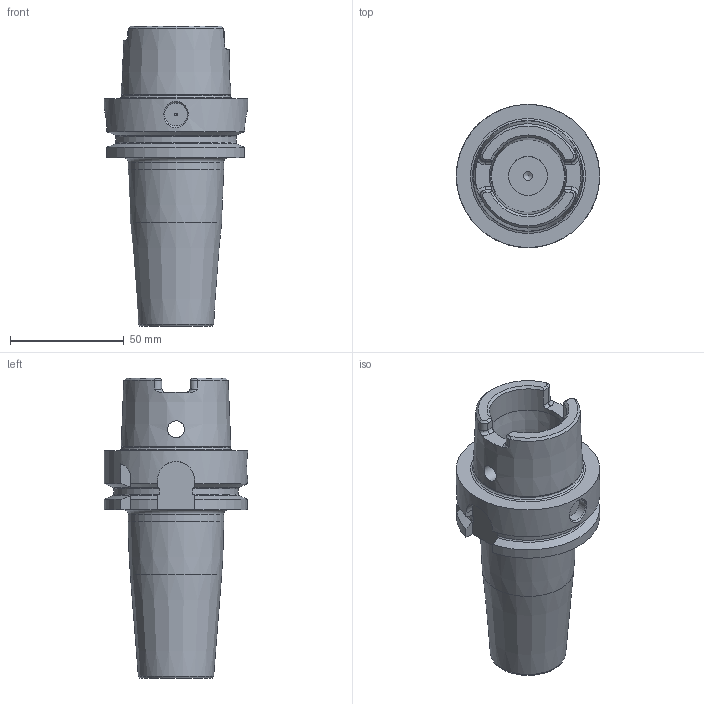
import cadquery as cq
import math


taper_top_z = 31.9
taper_top_radius = 22.9
taper_base_radius = 24.1
relief_top_z = 1.9
relief_radius = 23.8
relief_arc_radius = 1.0
relief_ramp_radius = 25.3
relief_ramp_angle = 22.0

collar_radius = 31.5
collar_bottom_z = -26.0
groove_z = -18.0
groove_half_width = 3.5
groove_radius = 27.5
groove_floor_half_width = 1.65
groove_floor_fillet = 0.8

nose_radius = 21.0
nose_tip_radius = 16.5
nose_tip_z = -100.0
nose_angle = 4.5
nose_fillet = 2.0
nose_bend_start_z = -31.2
nose_bend_end_z = -54.65
nose_tip_chamfer = 0.8

bore_radius = 17.0
bore_straight_depth = 12.4
bore_floor_radius = 16.0
bore_floor_z = 5.0
counterbore_radius = 8.6
counterbore_depth = 10.0
center_cone_radius = 2.0
center_cone_angle = 118.0

drive_slot_half_width = 6.2
drive_slot_depth_minus_x = 6.2
drive_slot_depth_plus_x = 10.2
drive_slot_mouth_fillet = 2.4
drive_slot_floor_fillet = 1.4
rim_chamfer = 1.0

access_hole_radius = 3.75
access_hole_z = 9.3
chip_hole_radius = 5.0
chip_hole_depth = 4.6
chip_hole_z = -7.0
chip_hole_chamfer = 0.8
chip_pilot_radius = 0.6

keyway_flat_x = 26.5
keyway_width_minus_x = 16.3
keyway_width_plus_x = 18.0
keyway_top_z = -4.8
notch_offset = 20.0
notch_corner_radius = 5.7
notch_corner_z = -11.4

keyway_clearance = 10.0
mouth_clearance = 1.0


def revolve_about_z(profile):
    """Full revolution about Z with the seam turned to +Y, clear of holes and slots."""
    ring = profile.revolve(360, (0, 0, 0), (0, 1, 0))
    return ring.rotate((0, 0, 0), (0, 0, 1), 90)


def make_body():
    """Revolve the outer profile of taper, collar and nose."""
    ramp = math.radians(relief_ramp_angle)
    arc_end_radius = relief_radius + relief_arc_radius * (1 - math.sin(ramp))
    arc_end_z = (relief_ramp_radius - arc_end_radius) * math.tan(ramp)
    arc_start_z = arc_end_z + relief_arc_radius * math.cos(ramp)
    relief_step = taper_base_radius - relief_radius
    slope = math.tan(math.radians(nose_angle))
    bend_end_radius = nose_tip_radius + (nose_bend_end_z - nose_tip_z) * slope
    chamfer_radius = nose_tip_radius + nose_tip_chamfer * slope
    diagonal = math.sqrt(0.5)
    profile = (
        cq.Workplane("XZ")
        .moveTo(0, taper_top_z)
        .lineTo(taper_top_radius, taper_top_z)
        .lineTo(taper_base_radius, relief_top_z)
        .lineTo(relief_radius, relief_top_z - relief_step)
        .lineTo(relief_radius, arc_start_z)
        .tangentArcPoint((arc_end_radius, arc_end_z), relative=False)
        .lineTo(relief_ramp_radius, 0)
        .lineTo(collar_radius, 0)
        .lineTo(collar_radius, collar_bottom_z)
        .lineTo(nose_radius + nose_fillet, collar_bottom_z)
        .threePointArc(
            (
                nose_radius + nose_fillet * (1 - diagonal),
                collar_bottom_z - nose_fillet * (1 - diagonal),
            ),
            (nose_radius, collar_bottom_z - nose_fillet),
        )
        .lineTo(nose_radius, nose_bend_start_z)
        .tangentArcPoint((bend_end_radius, nose_bend_end_z), relative=False)
        .lineTo(chamfer_radius, nose_tip_z + nose_tip_chamfer)
        .lineTo(nose_tip_radius - nose_tip_chamfer / 2, nose_tip_z)
        .lineTo(0, nose_tip_z)
        .close()
    )
    return revolve_about_z(profile)


def make_bore():
    """Straight mouth, slightly narrowing lower bore, counterbore and center cone."""
    counterbore_z = bore_floor_z - counterbore_depth
    cone_depth = center_cone_radius / math.tan(math.radians(center_cone_angle / 2))
    profile = (
        cq.Workplane("XZ")
        .moveTo(0, taper_top_z)
        .lineTo(bore_radius, taper_top_z)
        .lineTo(bore_radius, taper_top_z - bore_straight_depth)
        .lineTo(bore_floor_radius, bore_floor_z)
        .lineTo(counterbore_radius, bore_floor_z)
        .lineTo(counterbore_radius, counterbore_z)
        .lineTo(center_cone_radius, counterbore_z)
        .lineTo(0, counterbore_z - cone_depth)
        .close()
    )
    return revolve_about_z(profile)


def make_groove():
    """Gripper groove ring with sloping walls and rounded floor corners."""
    profile = (
        cq.Workplane("XZ")
        .moveTo(collar_radius, groove_z + groove_half_width)
        .lineTo(groove_radius, groove_z + groove_floor_half_width)
        .lineTo(groove_radius, groove_z - groove_floor_half_width)
        .lineTo(collar_radius, groove_z - groove_half_width)
        .close()
    )
    floor_edges = cq.selectors.RadiusNthSelector(0)
    return revolve_about_z(profile).edges(floor_edges).fillet(groove_floor_fillet)


def cut_drive_slot(part, side, depth):
    """Rim slot with rounded mouth corners and floor fillets; side is +1 or -1 along X."""
    floor_z = taper_top_z - depth
    inner_x = bore_radius / 2
    length = collar_radius - inner_x
    slot = (
        cq.Workplane("XY", origin=(side * (inner_x + length / 2), 0, floor_z))
        .rect(length, 2 * drive_slot_half_width)
        .extrude(depth)
    )
    part = part.cut(slot)
    middle_z = floor_z + depth / 2
    for wall_y in (drive_slot_half_width, -drive_slot_half_width):
        mouth = (side * taper_top_radius, wall_y, middle_z)
        part = part.edges(cq.selectors.NearestToPointSelector(mouth)).fillet(drive_slot_mouth_fillet)
    for wall_y in (drive_slot_half_width, -drive_slot_half_width):
        floor_edge = (side * bore_radius, wall_y, floor_z)
        part = part.edges(cq.selectors.NearestToPointSelector(floor_edge)).fillet(drive_slot_floor_fillet)
    return part


def cut_access_hole(part):
    """Plain round hole straight through both sides of the taper wall."""
    start = cq.Vector(-collar_radius, 0, access_hole_z)
    direction = cq.Vector(1, 0, 0)
    hole = cq.Solid.makeCylinder(access_hole_radius, 2 * collar_radius, start, direction)
    return part.cut(cq.Workplane(hole))


def cut_chip_hole(part):
    """Flat-bottomed data chip hole on the -Y side with a chamfered mouth and a pilot point."""
    mouth = cq.Vector(0, -collar_radius, chip_hole_z)
    inward = cq.Vector(0, 1, 0)
    floor = mouth + inward * chip_hole_depth
    hole = cq.Solid.makeCylinder(chip_hole_radius, chip_hole_depth, mouth, inward)
    cone_height = chip_hole_chamfer + mouth_clearance
    cone_base = mouth - inward * mouth_clearance
    cone = cq.Solid.makeCone(chip_hole_radius + cone_height, chip_hole_radius, cone_height, cone_base, inward)
    pilot = cq.Solid.makeCone(chip_pilot_radius, 0, chip_pilot_radius, floor, inward)
    tool = cq.Workplane(hole).union(cq.Workplane(cone))
    return part.cut(tool).cut(cq.Workplane(pilot))


def make_keyway(side, width):
    """Round-topped keyway open at the bottom of the collar; side is +1 or -1 along X."""
    center_z = keyway_top_z - width / 2
    return (
        cq.Workplane("YZ", origin=(side * keyway_flat_x, 0, 0))
        .moveTo(-width / 2, collar_bottom_z)
        .lineTo(-width / 2, center_z)
        .threePointArc((0, keyway_top_z), (width / 2, center_z))
        .lineTo(width / 2, collar_bottom_z)
        .close()
        .extrude(side * keyway_clearance)
    )


def make_notch():
    """Orientation notch in the -X +Y corner of the collar with one rounded top corner."""
    top_z = notch_corner_z + notch_corner_radius
    diagonal = notch_corner_radius * (1 - math.sqrt(0.5))
    return (
        cq.Workplane("YZ", origin=(-notch_offset, 0, 0))
        .moveTo(notch_offset, collar_bottom_z)
        .lineTo(notch_offset, notch_corner_z)
        .threePointArc(
            (notch_offset + diagonal, top_z - diagonal),
            (notch_offset + notch_corner_radius, top_z),
        )
        .lineTo(collar_radius, top_z)
        .lineTo(collar_radius, collar_bottom_z)
        .close()
        .extrude(-collar_radius)
    )


result = make_body().cut(make_bore()).cut(make_groove())
result = cut_drive_slot(result, -1, drive_slot_depth_minus_x)
result = cut_drive_slot(result, 1, drive_slot_depth_plus_x)
result = result.faces(">Z").edges().chamfer(rim_chamfer)
result = cut_access_hole(result)
result = cut_chip_hole(result)
result = result.cut(make_keyway(-1, keyway_width_minus_x))
result = result.cut(make_keyway(1, keyway_width_plus_x))
result = result.cut(make_notch())